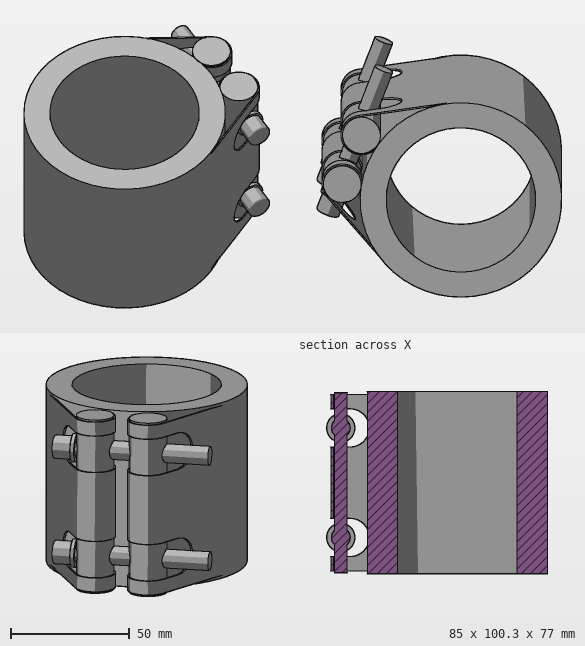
import math

import cadquery as cq

SLEEVE_OUTER_RADIUS = 85.0 / 2
SLEEVE_BORE_RADIUS = 63.0 / 2
SLEEVE_HEIGHT = 77.0

PIN_RADIUS = 16.0 / 2
PIN_END_INSET = 0.5
PIN_HEIGHT = SLEEVE_HEIGHT - 2 * PIN_END_INSET
PIN_X = 11.4
PIN_Y = 49.2

STRAP_OVERALL_Y = 57.84
STRAP_EDGE_INSET = 1.25
STRAP_HEIGHT = SLEEVE_HEIGHT - 2 * STRAP_EDGE_INSET
STRAP_THICKNESS = STRAP_OVERALL_Y - PIN_Y - PIN_RADIUS
LOOP_RADIUS = PIN_RADIUS + STRAP_THICKNESS

WINDOW_WIDTH = 16.0
WINDOW_BOTTOM_Y = 37.2

BOLT_SPACING = 46.2
SHANK_RADIUS = 8.0 / 2
SHANK_END_X = -38.1
COLLAR_RADIUS = 12.0 / 2
COLLAR_THICKNESS = 1.7
COLLAR_START_X = PIN_X + PIN_RADIUS
HEAD_RADIUS = 10.0 / 2
HEAD_LENGTH = 8.0
HEAD_EDGE_ROUND = 0.8


def upright_cylinder(radius, height, x=0.0, y=0.0):
    """Cylinder parallel to Z, centred on Z = 0."""
    return cq.Workplane("XY").center(x, y).circle(radius).extrude(height / 2, both=True)


def bar_along_x(radius, start_x, end_x, z):
    """Cylinder parallel to X at the depth of the pin axes."""
    return cq.Workplane("YZ", origin=(start_x, PIN_Y, z)).circle(radius).extrude(end_x - start_x)


def polar(centre, radius, angle):
    """Point at a radius and angle from a centre."""
    return (centre[0] + radius * math.cos(angle), centre[1] + radius * math.sin(angle))


def make_strap_end():
    """Strap on the +X side: tangent run from the sleeve, then a loop over the pin back to the sleeve."""
    sleeve_centre = (0, 0)
    pin_centre = (PIN_X, PIN_Y)
    centre_distance = math.hypot(PIN_X, PIN_Y)
    centre_angle = math.atan2(PIN_Y, PIN_X)
    run_angle = centre_angle - math.acos((SLEEVE_OUTER_RADIUS - LOOP_RADIUS) / centre_distance)
    loop_end_angle = centre_angle + math.pi
    loop_middle_angle = (run_angle + loop_end_angle) / 2

    return (
        cq.Workplane("XY")
        .moveTo(*polar(sleeve_centre, SLEEVE_OUTER_RADIUS, run_angle))
        .lineTo(*polar(pin_centre, LOOP_RADIUS, run_angle))
        .threePointArc(polar(pin_centre, LOOP_RADIUS, loop_middle_angle),
                       polar(pin_centre, LOOP_RADIUS, loop_end_angle))
        .lineTo(*polar(pin_centre, PIN_RADIUS, loop_end_angle))
        .threePointArc(polar(pin_centre, PIN_RADIUS, loop_middle_angle),
                       polar(pin_centre, PIN_RADIUS, run_angle))
        .lineTo(*polar(sleeve_centre, SLEEVE_OUTER_RADIUS - STRAP_THICKNESS, run_angle))
        .close()
        .extrude(STRAP_HEIGHT / 2, both=True)
    )


def make_window(z):
    """Round-bottomed slot along X, open at the top of the strap loops."""
    radius = WINDOW_WIDTH / 2
    round_y = WINDOW_BOTTOM_Y + radius
    open_y = STRAP_OVERALL_Y + STRAP_THICKNESS
    return (
        cq.Workplane("YZ", origin=(0, 0, z))
        .moveTo(open_y, radius)
        .lineTo(round_y, radius)
        .threePointArc((WINDOW_BOTTOM_Y, 0), (round_y, -radius))
        .lineTo(open_y, -radius)
        .close()
        .extrude(SLEEVE_OUTER_RADIUS, both=True)
    )


def make_bolt(z):
    """Bolt with a collar bearing on the +X pin and a round head rounded at its end."""
    collar_end_x = COLLAR_START_X + COLLAR_THICKNESS
    shank = bar_along_x(SHANK_RADIUS, SHANK_END_X, collar_end_x, z)
    collar = bar_along_x(COLLAR_RADIUS, COLLAR_START_X, collar_end_x, z)
    head = bar_along_x(HEAD_RADIUS, collar_end_x, collar_end_x + HEAD_LENGTH, z)
    head = head.faces(">X").fillet(HEAD_EDGE_ROUND)
    return shank.union(collar).union(head)


bolt_levels = (-BOLT_SPACING / 2, BOLT_SPACING / 2)

strap_end = make_strap_end()
strap = strap_end.union(strap_end.mirror("YZ"))
for level in bolt_levels:
    strap = strap.cut(make_window(level))

clamp = upright_cylinder(SLEEVE_OUTER_RADIUS, SLEEVE_HEIGHT).union(strap)
for pin_x in (-PIN_X, PIN_X):
    clamp = clamp.union(upright_cylinder(PIN_RADIUS, PIN_HEIGHT, pin_x, PIN_Y))
for level in bolt_levels:
    clamp = clamp.union(make_bolt(level))

result = clamp.cut(upright_cylinder(SLEEVE_BORE_RADIUS, SLEEVE_HEIGHT))